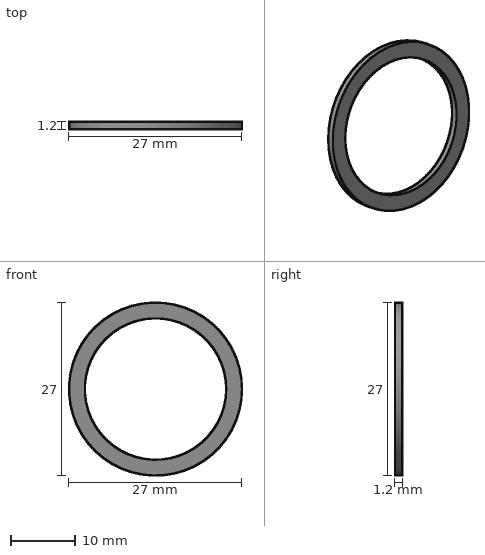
import cadquery as cq

outer_diameter = 27.0
inner_diameter = 22.0
thickness = 1.2

result = (
    cq.Workplane("XZ")
    .circle(outer_diameter / 2)
    .circle(inner_diameter / 2)
    .extrude(thickness)
)